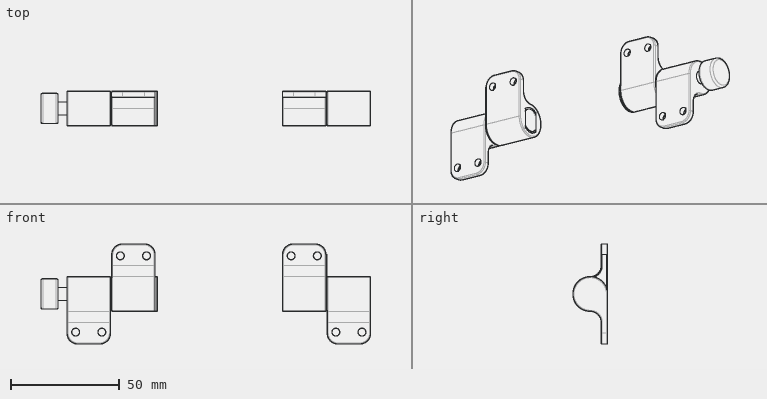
import cadquery as cq
import math


leaf_width = 20.0
barrel_radius = 8.0
blend_radius = 5.0
plate_thickness = 3.0
plate_reach = 23.0
plate_corner_radius = 5.0
edge_round = 0.5
tolerance = 0.001
screw_hole_diameter = 3.5
screw_hole_spacing = 12.0
screw_hole_height = 17.5

leaf_gap = 0.5
leaf_pitch = leaf_width + leaf_gap
far_end = 139.35
pin_leaf_x = 0.0
capped_leaf_x = pin_leaf_x + leaf_pitch
stub_leaf_x = far_end - leaf_width
socket_leaf_x = stub_leaf_x - leaf_pitch

knob_diameter = 14.0
knob_length = 8.0
knob_round = 1.0
neck_length = 4.0
rod_diameter = 6.0
cap_length = 1.0

collar_radius = barrel_radius - edge_round

socket_radius = 6.0
stub_clearance = 0.75
across_flats = 7.5


def rod_along_x(radius, x_start, length):
    return cq.Workplane("YZ", origin=(x_start, 0, 0)).circle(radius).extrude(length)


def leaf_outline(x_start, inset, reach):
    """Side outline of barrel, blend and plate, shrunk by inset, up to the given height."""
    radius = barrel_radius - inset
    blend = blend_radius + inset
    front_y = barrel_radius - plate_thickness + inset
    blend_center_z = barrel_radius + blend_radius
    diagonal = math.sqrt(0.5)
    return (
        cq.Workplane("YZ", origin=(x_start, 0, 0))
        .moveTo(radius, 0)
        .lineTo(radius, reach)
        .lineTo(front_y, reach)
        .lineTo(front_y, blend_center_z)
        .threePointArc((blend * diagonal, blend_center_z - blend * diagonal), (0, radius))
        .threePointArc((-radius * diagonal, -radius * diagonal), (radius, 0))
        .close()
    )


def is_sharp(edge):
    """True for the edges round the two leaf ends and across the plate tip."""
    box = edge.BoundingBox()
    along_y = box.xlen < tolerance and box.zlen < tolerance
    seam = abs(box.xlen - leaf_width) < tolerance
    return not (along_y or seam)


def make_leaf(x_start):
    """Leaf with its plate pointing up."""
    leaf = leaf_outline(x_start, 0, plate_reach).extrude(leaf_width)
    leaf = leaf.edges("|Y and >Z").fillet(plate_corner_radius)
    rounded = [edge for edge in leaf.edges().vals() if is_sharp(edge)]
    leaf = leaf.newObject(rounded).fillet(edge_round)
    holes = (
        cq.Workplane("XZ", origin=(x_start + leaf_width / 2, 0, screw_hole_height))
        .rarray(screw_hole_spacing, 1, 2, 1)
        .circle(screw_hole_diameter / 2)
        .extrude(-barrel_radius)
    )
    return leaf.cut(holes)


def plate_down(leaf):
    return leaf.mirror("XY")


def two_flat_rod(radius, x_start, length):
    """Round rod with flats on its front and back."""
    slab = cq.Workplane("XY").box(length, across_flats, 2 * radius)
    slab = slab.translate((x_start + length / 2, 0, 0))
    return rod_along_x(radius, x_start, length).intersect(slab)


rod_start = pin_leaf_x - neck_length
cap_start = capped_leaf_x + leaf_width
knob = rod_along_x(knob_diameter / 2, rod_start - knob_length, knob_length).edges().fillet(knob_round)
rod = rod_along_x(rod_diameter / 2, rod_start, cap_start - rod_start)
cap = rod_along_x(barrel_radius, cap_start, cap_length).edges('>X').fillet(edge_round)
pin = knob.union(rod).union(cap)

collar = rod_along_x(collar_radius, pin_leaf_x + leaf_width, leaf_gap)
pin_leaf = plate_down(make_leaf(pin_leaf_x)).union(collar).cut(rod)
capped_leaf = make_leaf(capped_leaf_x).cut(rod)

raised_face = leaf_outline(
    socket_leaf_x + leaf_width, edge_round, plate_reach - plate_corner_radius
).extrude(leaf_gap)
socket = two_flat_rod(socket_radius, socket_leaf_x, leaf_pitch)
socket_leaf = make_leaf(socket_leaf_x).union(raised_face).cut(socket)

stub = two_flat_rod(socket_radius - stub_clearance, socket_leaf_x, leaf_pitch)
stub_leaf = plate_down(make_leaf(stub_leaf_x)).union(stub)

result = cq.Compound.makeCompound(
    [pin.val(), pin_leaf.val(), capped_leaf.val(), socket_leaf.val(), stub_leaf.val()]
)